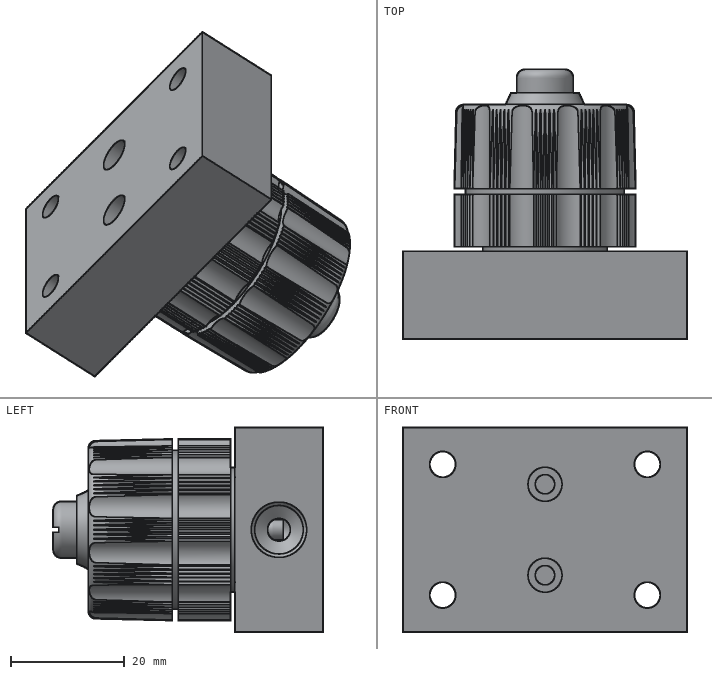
import cadquery as cq
import math

BLOCK_WIDTH = 50.0
BLOCK_THICKNESS = 15.5
BLOCK_HEIGHT = 36.0

MOUNT_DIAMETER = 4.5
MOUNT_SPACING_X = 36.0
MOUNT_SPACING_Z = 23.0

FACE_PORT_DIAMETER = 6.0
FACE_PORT_DEPTH = 5.0
FACE_PORT_SPACING = 16.0
FEED_DIAMETER = 3.4
FEED_DEPTH = 8.0

SIDE_PORT_Y = BLOCK_THICKNESS / 2
SIDE_PORT_MOUTH_DIAMETER = 9.75
SIDE_PORT_DIAMETER = 8.55
SIDE_PORT_DEPTH = 12.0
PASSAGE_DIAMETER = 4.0
PASSAGE_END_X = 2.0
DRILL_POINT_ANGLE = 118.0

STEM_DIAMETER = 3.6
STEM_TIP_Y = 7.0
STEM_SHOULDER_Y = 8.9
STEM_NECK_DIAMETER = 2.9
STEM_EMBEDMENT = 0.5
STEM_ROOT_Y = SIDE_PORT_Y + PASSAGE_DIAMETER / 2 + STEM_EMBEDMENT

LOWER_KNOB_Y = 16.25
GAP_START_Y = 25.5
GAP_END_Y = 26.5
KNOB_TOP_Y = 41.3
BOSS_TOP_Y = 43.35
BUTTON_TOP_Y = 47.5
COLLAR_DIAMETER = 21.95
GAP_DIAMETER = 28.0
KNOB_DIAMETER = 32.0
KNOB_TOP_DIAMETER = 31.3
KNOB_ROUND = 1.4
BOSS_BASE_DIAMETER = 13.9
BOSS_TOP_DIAMETER = 12.0
BUTTON_DIAMETER = 10.0
BUTTON_ROUND = 1.5
SLOT_WIDTH = 0.8
SLOT_DEPTH = 1.0

FLUTE_COUNT = 12
FLUTE_DEPTH = 1.0
GROOVES_PER_LAND = 5
GROOVE_PITCH_ANGLE = 2.9
GROOVE_DEPTH = 0.4


def plane_at(y):
    """Plane facing +Y at height y, with its local axes along -X and Z."""
    return cq.Plane(origin=(0, y, 0), xDir=(-1, 0, 0), normal=(0, 1, 0))


def cylinder_y(diameter, start, end):
    """Cylinder on the Y axis between two Y levels."""
    return cq.Workplane(plane_at(start)).circle(diameter / 2).extrude(end - start)


def revolve_x(points):
    """Solid of revolution about the side port axis from (x, radius) points."""
    axis_plane = cq.Workplane("XY", origin=(0, SIDE_PORT_Y, 0))
    return axis_plane.polyline(points).close().revolve(360, (0, 0), (1, 0))


def polar(radius, degrees):
    """Point at a radius and angle from the knob axis."""
    angle = math.radians(degrees)
    return (radius * math.cos(angle), radius * math.sin(angle))


def grip(start, end):
    """Straight knob body: lands with V grooves, separated by concave flutes."""
    crest = KNOB_DIAMETER / 2
    valley = crest - GROOVE_DEPTH
    flute_floor = crest - FLUTE_DEPTH
    sector = 360 / FLUTE_COUNT
    half_land = GROOVES_PER_LAND * GROOVE_PITCH_ANGLE / 2
    profile = cq.Workplane(plane_at(start)).moveTo(*polar(crest, -half_land))
    for land in range(FLUTE_COUNT):
        land_start = land * sector - half_land
        for groove in range(GROOVES_PER_LAND):
            groove_start = land_start + groove * GROOVE_PITCH_ANGLE
            profile = profile.lineTo(*polar(valley, groove_start + GROOVE_PITCH_ANGLE / 2))
            profile = profile.lineTo(*polar(crest, groove_start + GROOVE_PITCH_ANGLE))
        flute_middle = polar(flute_floor, (land + 0.5) * sector)
        flute_end = polar(crest, (land + 1) * sector - half_land)
        profile = profile.threePointArc(flute_middle, flute_end)
    return profile.close().extrude(end - start)


def make_block():
    """Block with mounting holes, face ports and the side port."""
    block = cq.Workplane("XY").box(BLOCK_WIDTH, BLOCK_THICKNESS, BLOCK_HEIGHT)
    block = block.translate((0, BLOCK_THICKNESS / 2, 0))
    mounts = (
        cq.Workplane(plane_at(0))
        .rarray(MOUNT_SPACING_X, MOUNT_SPACING_Z, 2, 2)
        .circle(MOUNT_DIAMETER / 2)
        .extrude(BLOCK_THICKNESS)
    )
    block = block.cut(mounts)
    for z in (-FACE_PORT_SPACING / 2, FACE_PORT_SPACING / 2):
        port = cylinder_y(FACE_PORT_DIAMETER, 0, FACE_PORT_DEPTH)
        port = port.union(cylinder_y(FEED_DIAMETER, 0, FEED_DEPTH))
        block = block.cut(port.translate((0, 0, z)))
    return block.cut(make_side_port())


def make_side_port():
    """Chamfered bore with a conical floor, leading into a drilled passage."""
    mouth_x = -BLOCK_WIDTH / 2
    floor_x = mouth_x + SIDE_PORT_DEPTH
    mouth_radius = SIDE_PORT_MOUTH_DIAMETER / 2
    bore_radius = SIDE_PORT_DIAMETER / 2
    passage_radius = PASSAGE_DIAMETER / 2
    cone_slope = math.tan(math.radians(DRILL_POINT_ANGLE / 2))
    return revolve_x(
        [
            (mouth_x, 0),
            (mouth_x, mouth_radius),
            (mouth_x + mouth_radius - bore_radius, bore_radius),
            (floor_x, bore_radius),
            (floor_x + (bore_radius - passage_radius) / cone_slope, passage_radius),
            (PASSAGE_END_X, passage_radius),
            (PASSAGE_END_X + passage_radius / cone_slope, 0),
        ]
    )


def make_stem():
    """Stem tip hanging into the passage, with a tapered neck above it."""
    neck = (
        cq.Workplane(plane_at(STEM_SHOULDER_Y))
        .circle(STEM_DIAMETER / 2)
        .workplane(offset=STEM_ROOT_Y - STEM_SHOULDER_Y)
        .circle(STEM_NECK_DIAMETER / 2)
        .loft()
    )
    return cylinder_y(STEM_DIAMETER, STEM_TIP_Y, STEM_SHOULDER_Y).union(neck)


def make_lower_knob():
    """Straight grip below the gap."""
    return grip(LOWER_KNOB_Y, GAP_START_Y)


def make_upper_knob():
    """Grip that narrows toward its rounded top."""
    envelope = (
        cq.Workplane(plane_at(GAP_END_Y))
        .circle(KNOB_DIAMETER / 2)
        .workplane(offset=KNOB_TOP_Y - GAP_END_Y)
        .circle(KNOB_TOP_DIAMETER / 2)
        .loft()
        .faces(">Y")
        .edges()
        .fillet(KNOB_ROUND)
    )
    return envelope.intersect(grip(GAP_END_Y, KNOB_TOP_Y))


def make_boss():
    """Conical boss between the knob and the button."""
    return (
        cq.Workplane(plane_at(KNOB_TOP_Y))
        .circle(BOSS_BASE_DIAMETER / 2)
        .workplane(offset=BOSS_TOP_Y - KNOB_TOP_Y)
        .circle(BOSS_TOP_DIAMETER / 2)
        .loft()
    )


def make_button():
    """Rounded screw head with a driver slot along X."""
    button = cylinder_y(BUTTON_DIAMETER, BOSS_TOP_Y, BUTTON_TOP_Y)
    button = button.faces(">Y").edges().fillet(BUTTON_ROUND)
    slot = cq.Workplane(plane_at(BUTTON_TOP_Y)).rect(BUTTON_DIAMETER, SLOT_WIDTH)
    slot = slot.extrude(-SLOT_DEPTH)
    return button.cut(slot)


result = (
    make_block()
    .union(make_stem())
    .union(cylinder_y(COLLAR_DIAMETER, BLOCK_THICKNESS, LOWER_KNOB_Y))
    .union(make_lower_knob())
    .union(cylinder_y(GAP_DIAMETER, GAP_START_Y, GAP_END_Y))
    .union(make_upper_knob())
    .union(make_boss())
    .union(make_button())
)